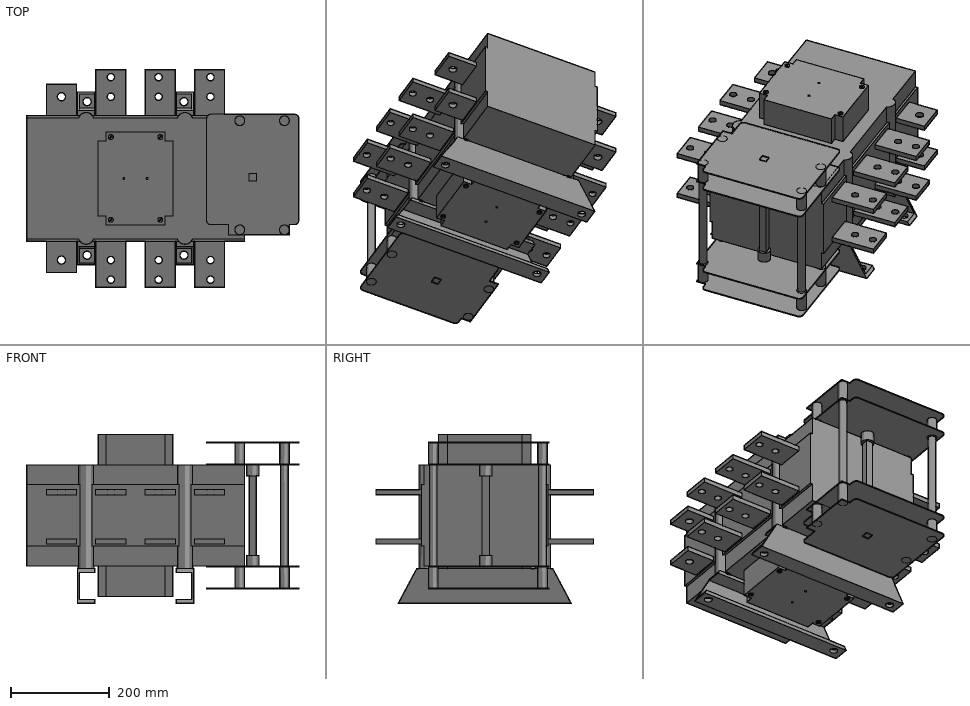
import cadquery as cq


overall_length = 551.0
overall_height = 342.0

block_left = -220.5
block_right = 221.0
block_bottom = 75.5
block_height = 205.0
block_depth = 245.0
block_top = block_bottom + block_height
block_mid_z = block_bottom + block_height / 2

band_depth = 255.0
band_bottom = 116.0
band_top = 241.0

column_diameter = 32.0
column_spacing = 200.0
column_x = column_spacing / 2
column_y = 117.5

poles = 4
terminal_pitch = column_spacing / 2
terminal_width = 61.0
terminal_thickness = 10.5
terminal_row_spacing = terminal_pitch
terminal_row_mid_z = 175.0
short_terminal_reach = 190.5
long_terminal_reach = 220.5
short_terminal_hole = 16.0
long_terminal_hole = 14.5
inner_hole_y = 165.5
outer_hole_y = 205.0
hole_shifts = (0, 0, -3.5, 1.5)

box_width = 151.5
box_depth = 188.0
box_height = overall_height - block_top
box_corner_width = 16.0
box_corner_depth = 18.0
screw_diameter = 10.0
screw_recess = 1.0
screw_x = terminal_pitch / 2
screw_y = 84.0
slot_width = 1.5
slot_depth = 3.0
slot_angle = 45
small_pin_hole = 3.5
large_pin_hole = 4.0
pin_hole_x = 23.5
pin_hole_depth = 5.0

bracket_outer_x = 118.0
bracket_width = 36.0
bracket_height = 70.5
bracket_web = 4.5
bracket_flange = 8.0
bracket_top_depth = 275.5
bracket_bottom_depth = 350.5
foot_hole_diameter = 16.0
foot_hole_x = 98.0
foot_hole_y = 155.5

plate_left = 144.0
plate_right = block_left + overall_length
plate_back = 130.0
plate_front = -93.5
plate_thickness = 2.0
plate_corner = 9.0
plate_spacing = 44.5
tab_left = 188.5
tab_right = 311.5
tab_front = -114.0
spacer_diameter = 20.0
spacer_left_x = 211.0
spacer_right_x = 301.5
spacer_back_y = 117.0
spacer_front_y = -104.0
rod_diameter = 16.0
shaft_x = (plate_left + plate_right) / 2
shaft_y = 2.0
shaft_side = 15.0
collar_diameter = 26.0
collar_length = 22.0


def slab(x0, x1, y0, y1, z0, z1):
    """Rectangular solid between two opposite corners."""
    return cq.Workplane("XY").box(x1 - x0, y1 - y0, z1 - z0, centered=False).translate((x0, y0, z0))


def cylinder(x, y, z0, z1, diameter):
    """Upright cylinder between two heights."""
    return cq.Workplane("XY").workplane(offset=z0).center(x, y).circle(diameter / 2).extrude(z1 - z0)


def make_terminal(pole, side, z):
    """Flat bar leaving the block on one side (+1 back, -1 front); the first pole's is shorter."""
    x = (pole - (poles - 1) / 2) * terminal_pitch
    z0 = z - terminal_thickness / 2
    z1 = z + terminal_thickness / 2
    if pole == 0:
        reach = short_terminal_reach
        hole_diameter = short_terminal_hole
        hole_ys = (inner_hole_y,)
    else:
        reach = long_terminal_reach
        hole_diameter = long_terminal_hole
        hole_ys = (inner_hole_y, outer_hole_y)
    bar = slab(x - terminal_width / 2, x + terminal_width / 2, 0, reach, z0, z1)
    for hole_y in hole_ys:
        bar = bar.cut(cylinder(x + hole_shifts[pole], hole_y, z0, z1, hole_diameter))
    return bar if side > 0 else bar.mirror("XZ")


def make_switch():
    """Block with its band, columns and terminal bars."""
    switch = slab(block_left, block_right, -block_depth / 2, block_depth / 2, block_bottom, block_top)
    switch = switch.union(
        slab(block_left, block_right, -band_depth / 2, band_depth / 2, band_bottom, band_top)
    )
    for x in (-column_x, column_x):
        for y in (-column_y, column_y):
            switch = switch.union(cylinder(x, y, bracket_height, block_top, column_diameter))

    for row in (-1, 1):
        z = terminal_row_mid_z + row * terminal_row_spacing / 2
        for side in (-1, 1):
            for pole in range(poles):
                switch = switch.union(make_terminal(pole, side, z))
    return switch


def make_control_box():
    """Box on top of the block, with notched corners, screw recesses and two pin holes."""
    half_width = box_width / 2
    half_depth = box_depth / 2
    top = block_top + box_height
    box = slab(-half_width, half_width, -half_depth, half_depth, block_top, top)
    for x in (-1, 1):
        for y in (-1, 1):
            notch = cq.Workplane("XY").box(2 * box_corner_width, 2 * box_corner_depth, 2 * box_height)
            box = box.cut(notch.translate((x * half_width, y * half_depth, block_top + box_height / 2)))
            recess_floor = top - screw_recess
            box = box.cut(cylinder(x * screw_x, y * screw_y, recess_floor, top, screw_diameter))
            slot = (
                cq.Workplane("XY")
                .box(screw_diameter, slot_width, slot_depth)
                .rotate((0, 0, 0), (0, 0, 1), slot_angle)
                .translate((x * screw_x, y * screw_y, recess_floor - slot_depth / 2))
            )
            box = box.cut(slot)
    box = box.cut(cylinder(-pin_hole_x, 0, top - pin_hole_depth, top, small_pin_hole))
    return box.cut(cylinder(pin_hole_x, 0, top - pin_hole_depth, top, large_pin_hole))


def make_bracket():
    """Left channel, open towards +X, with sloping ends and a bolt hole at each end of the foot."""
    x0 = -bracket_outer_x
    bracket = (
        cq.Workplane("YZ")
        .workplane(offset=x0)
        .polyline(
            [
                (-bracket_bottom_depth / 2, 0),
                (bracket_bottom_depth / 2, 0),
                (bracket_top_depth / 2, bracket_height),
                (-bracket_top_depth / 2, bracket_height),
            ]
        )
        .close()
        .extrude(bracket_width)
    )
    channel = slab(
        x0 + bracket_web,
        x0 + bracket_width,
        -bracket_bottom_depth / 2,
        bracket_bottom_depth / 2,
        bracket_flange,
        bracket_height - bracket_flange,
    )
    bracket = bracket.cut(channel)
    for y in (-foot_hole_y, foot_hole_y):
        bracket = bracket.cut(cylinder(-foot_hole_x, y, 0, bracket_flange, foot_hole_diameter))
    return bracket


def make_plate(z0):
    """Thin plate with rounded corners and a tab along its front edge."""
    z1 = z0 + plate_thickness
    plate = slab(plate_left, plate_right, plate_front, plate_back, z0, z1).edges("|Z").fillet(plate_corner)
    return plate.union(slab(tab_left, tab_right, tab_front, 0, z0, z1))


def make_drive_frame():
    """Inner and outer plate pairs, joined by spacers, tie rods and the collared shaft."""
    inner_top = block_top
    inner_bottom = block_bottom
    outer_top = inner_top + plate_spacing
    outer_bottom = inner_bottom - plate_spacing

    square_hole = slab(
        shaft_x - shaft_side / 2,
        shaft_x + shaft_side / 2,
        shaft_y - shaft_side / 2,
        shaft_y + shaft_side / 2,
        outer_bottom - plate_thickness,
        outer_top + plate_thickness,
    )
    frame = make_plate(outer_top).union(make_plate(outer_bottom - plate_thickness)).cut(square_hole)
    frame = frame.union(make_plate(inner_top)).union(make_plate(inner_bottom - plate_thickness))

    for y in (spacer_front_y, spacer_back_y):
        for x in (spacer_left_x, spacer_right_x):
            frame = frame.union(cylinder(x, y, inner_top, outer_top, spacer_diameter))
            frame = frame.union(cylinder(x, y, outer_bottom, inner_bottom, spacer_diameter))
        frame = frame.union(cylinder(spacer_right_x, y, inner_bottom, inner_top, rod_diameter))

    shaft = square_hole.intersect(
        slab(plate_left, plate_right, plate_front, plate_back, inner_bottom, inner_top)
    )
    frame = frame.union(shaft)
    frame = frame.union(cylinder(shaft_x, shaft_y, inner_top - collar_length, inner_top, collar_diameter))
    return frame.union(
        cylinder(shaft_x, shaft_y, inner_bottom, inner_bottom + collar_length, collar_diameter)
    )


switch = make_switch()
top_box = make_control_box()
bottom_box = top_box.mirror("XY", (0, 0, block_mid_z))
left_bracket = make_bracket()
right_bracket = left_bracket.mirror("YZ")
drive_frame = make_drive_frame()

result = cq.Compound.makeCompound(
    [
        switch.val(),
        top_box.val(),
        bottom_box.val(),
        left_bracket.val(),
        right_bracket.val(),
        drive_frame.val(),
    ]
)